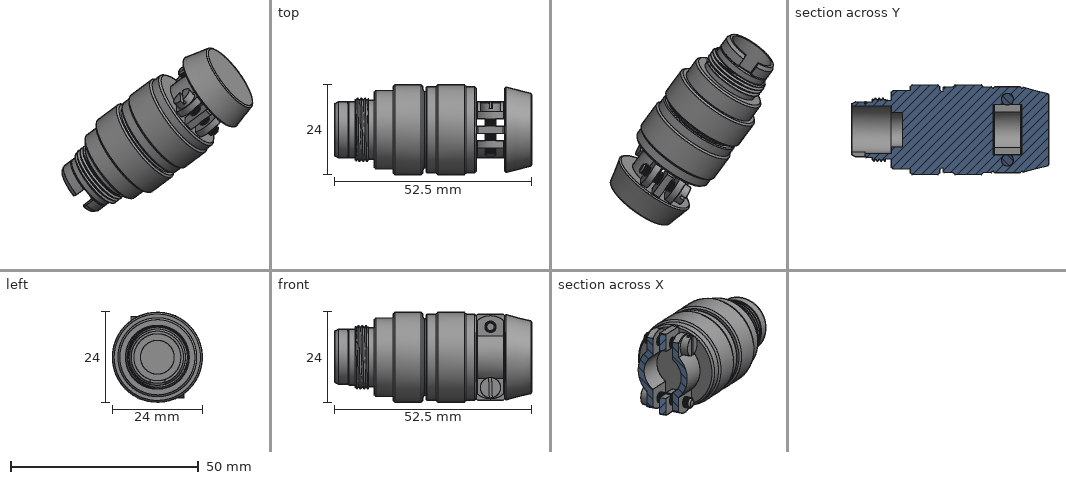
import cadquery as cq
import math


nose_bevel_end = 1.0
nose_tip_radius = 6.95
nose_radius = 7.5
nose_groove_start = 3.5
nose_groove_end = 3.85
nose_groove_radius = 6.9

thread_start = 5.45
thread_end = 8.95
thread_major_radius = 8.5
thread_depth = 0.65
thread_pitch = 1.0
thread_start_angle = 220.0
thread_bevel = 0.5
neck_radius = 7.9

collar_start = 10.5
collar_radius = 10.5
front_ring_start = 15.55
front_ring_end = 23.5
ring_radius = 12.0
relief_radius = 10.25
relief_bevel = 0.4
barrel_start = 24.3
barrel_radius = 11.5
barrel_end = 37.7
rear_ring_start = 26.95
rear_ring_end = 35.0
edge_bevel = 0.5
barrel_front_bevel = 0.3

bore_radius = 6.25
bore_depth = collar_start
contact_hole_radius = 4.5
contact_hole_depth = 3.0
key_slot_width = 4.0
key_slot_length = nose_groove_start

cap_start = 45.22
total_length = 52.5
cap_front_radius = 11.4
cap_front_bevel = 0.4
cap_rear_radius = 9.7
cap_rear_radius_at_face = 9.2
cap_rear_bevel = 0.3
web_thickness = 2.0
web_inner_z = 6.65
web_bevel = 0.4

clamp_width = 7.0
clamp_middle_x = (barrel_end + cap_start) / 2
jaw_radius = 7.5
jaw_split = 2.9
lug_face = 4.87
jaw_bore_radius = jaw_radius - (lug_face - jaw_split)
lug_tip_z = 11.05
lug_shoulder_z = 9.75

screw_z = 8.1
screw_radius = 1.5
screw_pitch = 0.5
screw_thread_depth = 0.3
screw_tip = 7.0
screw_tip_bevel = 0.5
screw_tip_radius = screw_radius - screw_tip_bevel
head_radius = 2.7
head_height = 2.2
head_slot_width = 0.8
head_slot_depth = 1.35
head_slot_turn = 2.0

flank_points = 12


def thread(major_radius, depth, pitch, length):
    """Right-handed threaded rod along Z: a spiral cross-section twisted one turn per pitch.

    The radius falls evenly from crest to root over half a turn and rises evenly over the other,
    so that a cut along the axis shows straight V flanks.
    """
    def crest_to_root(t):
        radius = major_radius - depth * t
        return (radius * math.cos(math.pi * t), radius * math.sin(math.pi * t))

    def root_to_crest(t):
        x, y = crest_to_root(1 - t)
        return (x, -y)

    return (
        cq.Workplane("XY")
        .parametricCurve(crest_to_root, N=flank_points, makeWire=False)
        .parametricCurve(root_to_crest, N=flank_points, makeWire=False)
        .wire()
        .twistExtrude(length, 360 * length / pitch)
    )


def revolve_about_x(points):
    """Solid of revolution from (x, radius) points."""
    return cq.Workplane("XY").polyline(points).close().revolve(360, (0, 0, 0), (1, 0, 0))


def make_barrel():
    """Stepped barrel from the nose tip to its rear face, before boring."""
    ring_edge = ring_radius - edge_bevel
    return revolve_about_x([
        (0, 0),
        (0, nose_tip_radius),
        (nose_bevel_end, nose_radius),
        (nose_groove_start, nose_radius),
        (nose_groove_start, nose_groove_radius),
        (nose_groove_end, nose_radius),
        (thread_end, nose_radius),
        (thread_end, neck_radius),
        (collar_start, neck_radius),
        (collar_start, collar_radius - edge_bevel),
        (collar_start + edge_bevel, collar_radius),
        (front_ring_start, collar_radius),
        (front_ring_start, ring_edge),
        (front_ring_start + edge_bevel, ring_radius),
        (front_ring_end - edge_bevel, ring_radius),
        (front_ring_end, ring_edge),
        (front_ring_end, relief_radius + relief_bevel),
        (front_ring_end + relief_bevel, relief_radius),
        (barrel_start, relief_radius),
        (barrel_start, barrel_radius - barrel_front_bevel),
        (barrel_start + barrel_front_bevel, barrel_radius),
        (rear_ring_start, barrel_radius),
        (rear_ring_start + edge_bevel, ring_radius),
        (rear_ring_end - edge_bevel, ring_radius),
        (rear_ring_end, barrel_radius),
        (barrel_end - edge_bevel, barrel_radius),
        (barrel_end, barrel_radius - edge_bevel),
        (barrel_end, 0),
    ])


def make_nose_thread():
    length = thread_end - thread_start
    rod = (
        thread(thread_major_radius, thread_depth, thread_pitch, length)
        .rotate((0, 0, 0), (0, 0, 1), thread_start_angle)
        .rotate((0, 0, 0), (0, 1, 0), 90)
        .translate((thread_start, 0, 0))
    )
    trim_radius = thread_major_radius + thread_bevel
    envelope = revolve_about_x([
        (thread_start, 0),
        (thread_start, thread_major_radius - thread_bevel),
        (thread_start + 2 * thread_bevel, trim_radius),
        (thread_end, trim_radius),
        (thread_end, 0),
    ])
    return rod.intersect(envelope)


def make_cap():
    return revolve_about_x([
        (cap_start, 0),
        (cap_start, cap_front_radius - cap_front_bevel),
        (cap_start + cap_front_bevel, cap_front_radius),
        (total_length - cap_rear_bevel, cap_rear_radius),
        (total_length, cap_rear_radius_at_face),
        (total_length, 0),
    ])


def make_web(side):
    """Flat bar joining the barrel to the cap, above (side 1) or below (side -1) the axis."""
    shoulder = barrel_radius - web_bevel
    return (
        cq.Workplane("XZ")
        .polyline([
            (barrel_end, side * web_inner_z),
            (barrel_end, side * shoulder),
            (barrel_end + web_bevel, side * barrel_radius),
            (cap_start - web_bevel, side * barrel_radius),
            (cap_start, side * shoulder),
            (cap_start, side * web_inner_z),
        ])
        .close()
        .extrude(web_thickness / 2, both=True)
    )


def make_housing():
    housing = make_barrel().union(make_nose_thread()).union(make_cap())
    for side in (1, -1):
        screw_hole = (
            cq.Workplane("XZ")
            .center(clamp_middle_x, side * screw_z)
            .circle(screw_radius)
            .extrude(web_thickness, both=True)
        )
        housing = housing.union(make_web(side).cut(screw_hole))
    bore = cq.Workplane("YZ").circle(bore_radius).extrude(bore_depth)
    contact_hole = (
        cq.Workplane("YZ", origin=(bore_depth, 0, 0))
        .circle(contact_hole_radius)
        .extrude(contact_hole_depth)
    )
    key_slot = cq.Workplane("XY").box(
        key_slot_length, key_slot_width, nose_radius, centered=(False, True, False)
    ).translate((0, 0, -nose_radius))
    return housing.cut(bore).cut(contact_hole).cut(key_slot)


def make_jaw():
    """Jaw on the -Y side: a C-shaped saddle with a round-topped lug at each end."""
    half_width = clamp_width / 2
    lugs = (
        cq.Workplane("XZ", origin=(clamp_middle_x, -jaw_split, 0))
        .moveTo(-half_width, -lug_shoulder_z)
        .threePointArc((0, -lug_tip_z), (half_width, -lug_shoulder_z))
        .lineTo(half_width, lug_shoulder_z)
        .threePointArc((0, lug_tip_z), (-half_width, lug_shoulder_z))
        .close()
        .extrude(lug_face - jaw_split)
    )
    start_x = clamp_middle_x - half_width
    saddle = cq.Workplane("YZ", origin=(start_x, 0, 0)).circle(jaw_radius).extrude(clamp_width)
    beyond_split = cq.Workplane("XY").box(
        clamp_width, jaw_radius, 2 * jaw_radius, centered=(False, False, True)
    ).translate((start_x, -jaw_split - jaw_radius, 0))
    cable_bore = cq.Workplane("YZ", origin=(start_x, 0, 0)).circle(jaw_bore_radius).extrude(clamp_width)
    return saddle.intersect(beyond_split).union(lugs).cut(cable_bore)


def make_screw():
    """Upper clamp screw, with its slotted head on the +Y side.

    It is built along Z from the web's middle. The stretches inside the two lugs are one with the
    lugs, so only the stretches outside them are made.
    """
    half_web = web_thickness / 2
    thread_tip = screw_tip - screw_tip_bevel
    screw = cq.Workplane("XY").circle(screw_radius).extrude(half_web, both=True)
    for start, end in ((-thread_tip, -lug_face), (-jaw_split, -half_web), (half_web, jaw_split)):
        stretch = thread(screw_radius, screw_thread_depth, screw_pitch, end - start)
        screw = screw.add(stretch.translate((0, 0, start)))
    tip = cq.Solid.makeCone(
        screw_tip_radius, screw_radius, screw_tip_bevel, pnt=cq.Vector(0, 0, -screw_tip)
    )
    head = (
        cq.Workplane("XY", origin=(0, 0, lug_face))
        .circle(head_radius)
        .extrude(head_height)
        .faces(">Z")
        .workplane()
        .transformed(rotate=(0, 0, head_slot_turn))
        .rect(head_slot_width, 2 * head_radius)
        .cutBlind(-head_slot_depth)
    )
    return (
        screw.add(cq.Workplane(tip)).add(head)
        .rotate((0, 0, 0), (1, 0, 0), -90)
        .translate((clamp_middle_x, 0, screw_z))
    )


def make_clamp():
    """Both jaws and both screws, as one solid; the second of each is turned half round X."""
    jaw = make_jaw()
    screw = make_screw()
    clamp = jaw.union(jaw.rotate((0, 0, 0), (1, 0, 0), 180))
    for turn in (0, 180):
        for piece in screw.rotate((0, 0, 0), (1, 0, 0), turn).vals():
            clamp = clamp.union(cq.Workplane(piece))
    return clamp


housing = make_housing()
clamp = make_clamp()

result = cq.Compound.makeCompound([housing.solids().val(), clamp.solids().val()])